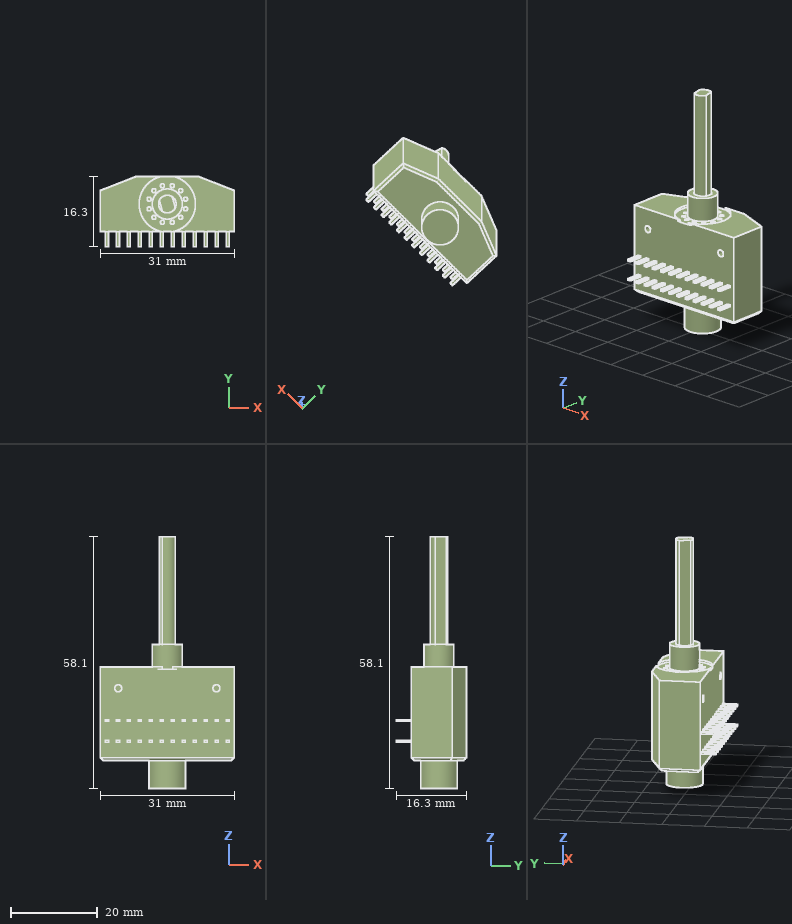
import cadquery as cq

overall_height = 58.15
body_bottom_z = 6.45
body_top_z = 28.1
collar_top_z = 33.25

body_width = 31.0
body_depth = 12.8
back_flat_width = 14.3
slant_depth = 3.25
bottom_chamfer = 0.7

boss_diameter = 8.5
collar_diameter = 7.0
shaft_diameter = 4.1
shaft_across_flats = 3.1
shaft_turn = 15.0
dial_diameter = 13.0
dial_depth = 0.5

stop_hole_count = 12
stop_hole_diameter = 0.95
stop_hole_depth = 1.15
stop_circle_radius = 4.35

mount_hole_diameter = 1.6
mount_hole_spacing = 22.7
mount_hole_z = 23.15
mount_hole_depth = 1.75

pins_per_row = 12
pin_row_length = 27.9
pin_width = 0.75
pin_thickness = 0.4
pin_length = 3.5
pin_row_heights = (10.95, 15.7)

pin_pitch = pin_row_length / (pins_per_row - 1)
half_width = body_width / 2
front_y = -body_depth / 2
back_y = body_depth / 2
shoulder_y = back_y - slant_depth
dial_floor_z = body_top_z - dial_depth


def cylinder(diameter, bottom_z, top_z):
    """Upright cylinder on the switch axis."""
    disc = cq.Workplane("XY").workplane(offset=bottom_z).circle(diameter / 2)
    return disc.extrude(top_z - bottom_z)


def make_housing():
    """Block with slanted rear corners and a chamfered underside."""
    outline = [
        (-half_width, front_y),
        (half_width, front_y),
        (half_width, shoulder_y),
        (back_flat_width / 2, back_y),
        (-back_flat_width / 2, back_y),
        (-half_width, shoulder_y),
    ]
    block = cq.Workplane("XY").workplane(offset=body_bottom_z).polyline(outline).close()
    block = block.extrude(body_top_z - body_bottom_z)
    return block.faces("<Z").chamfer(bottom_chamfer)


def make_stop_holes():
    """Cutter for the blind holes around the collar."""
    step = 360 / stop_hole_count
    return (
        cq.Workplane("XY")
        .workplane(offset=dial_floor_z)
        .polarArray(stop_circle_radius, step / 2, 360, stop_hole_count)
        .circle(stop_hole_diameter / 2)
        .extrude(-stop_hole_depth)
    )


def make_mount_holes():
    """Cutter for the two blind holes in the front face."""
    half_spacing = mount_hole_spacing / 2
    return (
        cq.Workplane("XZ", origin=(0, front_y, 0))
        .pushPoints([(-half_spacing, mount_hole_z), (half_spacing, mount_hole_z)])
        .circle(mount_hole_diameter / 2)
        .extrude(-mount_hole_depth)
    )


def make_pins():
    """Two rows of flat pins standing out of the front face."""
    first_x = -pin_row_length / 2
    places = [(first_x + i * pin_pitch, z) for z in pin_row_heights for i in range(pins_per_row)]
    return (
        cq.Workplane("XZ", origin=(0, front_y, 0))
        .pushPoints(places)
        .rect(pin_width, pin_thickness)
        .extrude(pin_length)
    )


def make_shaft():
    """Round shaft with two parallel flats, standing on the dial floor."""
    height = overall_height - dial_floor_z
    slab = cq.Workplane("XY").workplane(offset=dial_floor_z).rect(shaft_across_flats, shaft_diameter)
    slab = slab.extrude(height).rotate((0, 0, 0), (0, 0, 1), shaft_turn)
    return cylinder(shaft_diameter, dial_floor_z, overall_height).intersect(slab)


collar = cylinder(collar_diameter, dial_floor_z, collar_top_z)
collar = collar.cut(cylinder(shaft_diameter, dial_floor_z, collar_top_z))

housing = make_housing()
housing = housing.cut(cylinder(dial_diameter, dial_floor_z, body_top_z))
housing = housing.cut(make_stop_holes())
housing = housing.cut(make_mount_holes())

result = (
    housing
    .union(cylinder(boss_diameter, 0, body_bottom_z))
    .union(collar)
    .union(make_shaft())
    .union(make_pins())
)